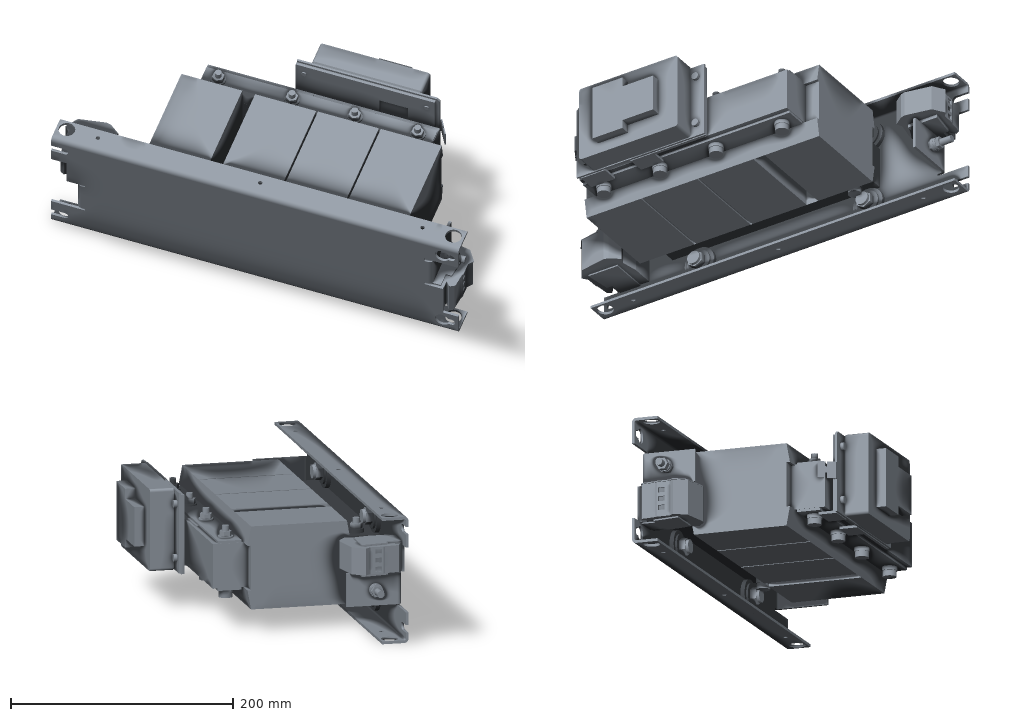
import cadquery as cq


PLATE_LENGTH = 389.0
PLATE_HEIGHT = 116.6
SHEET = 2.5
BEND_RADIUS = 4.0
FLANGE_DEPTH = 24.5
PLATE_END = PLATE_LENGTH / 2
SLOT_Z = 45.4
SLOT_WIDTH = 7.0
SLOT_LENGTH = 16.5
KEYHOLE_DIAMETER = 13.4
KEYHOLE_INSET = 15.4
KEYHOLE_NECK_INSET = 6.7
LIFT_HOLE_DIAMETER = 15.0
LIFT_HOLE_INSET = 9.9
FLANGE_HOLE_Y = 15.2
RIVET_HOLE_DIAMETER = 4.0
RIVET_HOLE_INSET = 39.5

TAB_INSET = 24.7
TAB_REACH = 51.2
RELIEF_INSET = 32.5
BLOCK_CUT_DEPTH = 14.7
STUD_Y = 25.0
STUD_RADIUS = 3.3
NUT_ACROSS_CORNERS = 11.5
STUD_WASHER_RADIUS = 6.1
SPRING_WASHER_RADIUS = 5.8
BLOCK_OVERHANG = 1.03
END_SHEET = 1.0
PORT_SIZE_Y = 6.0
PORT_SIZE_Z = 4.6
PORT_PITCH = 8.2
PORT_Y = 26.8
PORT_FLOOR_INSET = 5.5
BLOCK_OUTLINE = [
    (15.5, SHEET), (15.5, 11.0), (10.7, 5.0), (6.4, 7.4), (4.9, 20.5), (4.0, 22.5), (4.0, 34.5),
    (0.0, 39.6), (7.6, 50.9), (33.7, 55.6), (38.0, 54.5), (47.6, 47.2), (45.0, 41.3),
    (48.5, 25.0), (48.5, SHEET),
]
CAP_OUTLINE = [(17.5, SHEET), (17.5, 16.0), (12.0, 16.0), (8.2, 41.3), (39.3, 41.3), (39.3, SHEET)]

CORE_LEFT = -100.6
CORE_LENGTH = 221.5
CORE_RIGHT = CORE_LEFT + CORE_LENGTH
CORE_HALF = 20.6
YOKE_HEIGHT = 32.0
YOKE_TOP = 157.7
COIL_BOTTOM = 33.4
COIL_TOP = 129.1
COIL_HALF = 38.4
COIL_END_RISE = 3.3
COIL_WIDTH = 58.2
COIL_PITCH = 60.0
COIL_LEFTS = [-114.6] + [-44.2 + i * COIL_PITCH for i in range(3)]
FOOT_STUD_X = 90.0
FOOT_STUD_Z = 36.0
CLAMP_SHEET = 2.4
CLAMP_INSET = 0.4
CLAMP_BOTTOM = 131.0
CLAMP_TOP = 152.8
CLAMP_FACE = CORE_HALF + CLAMP_SHEET
BOLT_XS = [-85.2] + [-14.8 + i * COIL_PITCH for i in range(3)]
BOLT_Y = 142.0
LOWER_BOLT_Y = 20.6
BOLT_RADIUS = 3.1
HEX_TURN = 30
BOLT_WASHER_RADIUS = 7.0
BOLT_WASHER_SHEET = 1.3
BOLT_NUT_LENGTH = 4.6
BOLT_STUD_LENGTH = 5.0
BOLT_HEAD_RADIUS = 6.3
BOLT_HEAD_LENGTH = 5.5

BRACKET_LEFT = -18.8
BRACKET_RIGHT = 114.0
BRACKET_FRONT = 163.2
BRACKET_BACK = 166.2
BRACKET_TOP = 48.0
BRACKET_FOOT = -25.4
WINDOW_LEFT = 61.0
WINDOW_RIGHT = 88.6
WINDOW_TOP = 29.6
FOOT_SHEET = 2.4
FOOT_REACH = 149.0
LEG_LEFTS = (36.9, 88.6)
LEG_WIDTHS = (24.0, 25.4)
BOX_BACK = 168.2
BOX_TOP_Y = 191.6
BOX_BOTTOM_Z = -24.6
LID_TOP_Y = 201.0


def block(x0, x1, y0, y1, z0, z1):
    """Box between two opposite corners."""
    return cq.Workplane("XY").box(x1 - x0, y1 - y0, z1 - z0, centered=False).translate((x0, y0, z0))


def rod_z(x, y, z0, z1, radius):
    return cq.Workplane("XY", origin=(x, y, z0)).circle(radius).extrude(z1 - z0)


def rod_y(x, z, y0, y1, radius):
    return cq.Workplane("XZ", origin=(x, y0, z)).circle(radius).extrude(y0 - y1)


def rod_x(y, z, x0, x1, radius):
    return cq.Workplane("YZ", origin=(x0, y, z)).circle(radius).extrude(x1 - x0)


def end_range(side, near, far):
    """X range lying between two distances inward from one plate end."""
    return sorted((side * (PLATE_END - near), side * (PLATE_END - far)))


def make_channel():
    half = PLATE_HEIGHT / 2
    outer = block(-PLATE_END, PLATE_END, 0, FLANGE_DEPTH, -half, half)
    outer = outer.edges("|X and <Y").fillet(BEND_RADIUS)
    inner = block(-PLATE_END, PLATE_END, SHEET, FLANGE_DEPTH, SHEET - half, half - SHEET)
    inner = inner.edges("|X and <Y").fillet(BEND_RADIUS - SHEET)
    channel = outer.cut(inner)

    slot_end = -PLATE_END + SLOT_LENGTH - SLOT_WIDTH / 2
    key_x = PLATE_END - KEYHOLE_INSET
    neck_x = PLATE_END - KEYHOLE_NECK_INSET
    slot_half = SLOT_WIDTH / 2
    for z in (-SLOT_Z, SLOT_Z):
        channel = channel.cut(block(-PLATE_END, slot_end, 0, SHEET, z - slot_half, z + slot_half))
        channel = channel.cut(rod_y(slot_end, z, 0, SHEET, slot_half))
        channel = channel.cut(rod_y(key_x, z, 0, SHEET, KEYHOLE_DIAMETER / 2))
        channel = channel.cut(block(key_x, neck_x, 0, SHEET, z - slot_half, z + slot_half))
        channel = channel.cut(rod_y(neck_x, z, 0, SHEET, slot_half))

    lift_x = PLATE_END - LIFT_HOLE_INSET
    rivet_x = PLATE_END - RIVET_HOLE_INSET
    for x in (-lift_x, lift_x):
        channel = channel.cut(rod_z(x, FLANGE_HOLE_Y, -half, half, LIFT_HOLE_DIAMETER / 2))
    for x in (-rivet_x, 0, rivet_x):
        channel = channel.cut(rod_z(x, FLANGE_HOLE_Y, -half, half, RIVET_HOLE_DIAMETER / 2))
    return channel


def cut_end(channel, side, tab_cut_z, block_cut_z):
    """Open one plate end for the earthing tab and the terminal block."""
    relief_x0, relief_x1 = end_range(side, 0, RELIEF_INSET)
    block_x0, block_x1 = end_range(side, 0, BLOCK_CUT_DEPTH)
    channel = channel.cut(block(relief_x0, relief_x1, 0, SHEET, *tab_cut_z))
    return channel.cut(block(block_x0, block_x1, 0, SHEET, *block_cut_z))


def make_tab(side, tab_z):
    """Plate tab bent back along Y, joined to the plate by a rounded corner."""
    x0, x1 = end_range(side, TAB_INSET, RELIEF_INSET)
    outside = "<X" if side < 0 else ">X"
    corner = block(x0, x1, 0, TAB_REACH, *tab_z).edges("|Z and <Y and " + outside).fillet(BEND_RADIUS)
    hollow_x0, hollow_x1 = end_range(side, TAB_INSET + SHEET, RELIEF_INSET)
    hollow = block(hollow_x0, hollow_x1, SHEET, TAB_REACH, *tab_z)
    hollow = hollow.edges("|Z and <Y and " + outside).fillet(BEND_RADIUS - SHEET)
    return corner.cut(hollow)


def make_stud(side, stud_z, base_nut_length, washer_length, nut_length, tip_inset):
    """Earthing stud with a base nut, two washers and an outer nut."""
    base_end = TAB_INSET - base_nut_length
    first_washer_end = base_end - washer_length
    washer_end = first_washer_end - washer_length
    nut_end = washer_end - nut_length
    stud = rod_x(STUD_Y, stud_z, *end_range(side, tip_inset, TAB_INSET + SHEET), STUD_RADIUS)
    first_washer_x = end_range(side, first_washer_end, base_end)
    second_washer_x = end_range(side, washer_end, first_washer_end)
    stud = stud.union(rod_x(STUD_Y, stud_z, *first_washer_x, STUD_WASHER_RADIUS))
    stud = stud.union(rod_x(STUD_Y, stud_z, *second_washer_x, SPRING_WASHER_RADIUS))
    for near, far in ((base_end, TAB_INSET), (nut_end, washer_end)):
        x0, x1 = end_range(side, near, far)
        nut = cq.Workplane("YZ", origin=(x0, STUD_Y, stud_z)).polygon(6, NUT_ACROSS_CORNERS)
        stud = stud.union(nut.extrude(x1 - x0))
    return stud


def extrude_end_profile(side, tip, outline, z_range):
    """Extrude along Z an outline of (distance inward from the tip, Y) points."""
    points = [(side * (tip - inset), y) for inset, y in outline]
    sketch = cq.Workplane("XY", origin=(0, 0, z_range[0])).polyline(points).close()
    return sketch.extrude(z_range[1] - z_range[0])


def make_terminal_block(side, body_z, cap_z):
    """Terminal block with a raised cap on each side and three wire ports."""
    body = extrude_end_profile(side, PLATE_END, BLOCK_OUTLINE, body_z)
    port_x = end_range(side, 0, PORT_FLOOR_INSET)
    port_y = (PORT_Y - PORT_SIZE_Y / 2, PORT_Y + PORT_SIZE_Y / 2)
    middle_z = sum(body_z) / 2
    for step in (-1, 0, 1):
        z = middle_z + step * PORT_PITCH
        body = body.cut(block(*port_x, *port_y, z - PORT_SIZE_Z / 2, z + PORT_SIZE_Z / 2))
    return body.union(extrude_end_profile(side, PLATE_END, CAP_OUTLINE, cap_z))


def make_core():
    """Upper and lower yokes of the core, with clamping strips on the upper one."""
    core = block(CORE_LEFT, CORE_RIGHT, SHEET, SHEET + YOKE_HEIGHT, -CORE_HALF, CORE_HALF)
    core = core.union(block(CORE_LEFT, CORE_RIGHT, YOKE_TOP - YOKE_HEIGHT, YOKE_TOP, -CORE_HALF, CORE_HALF))
    for z0, z1 in ((CORE_HALF, CLAMP_FACE), (-CLAMP_FACE, -CORE_HALF)):
        clamp_x = (CORE_LEFT + CLAMP_INSET, CORE_RIGHT - CLAMP_INSET)
        core = core.union(block(*clamp_x, CLAMP_BOTTOM, CLAMP_TOP, z0, z1))
    return core


def make_foot_studs():
    """Studs with washers and nuts that hold the lower yoke to the plate."""
    studs = cq.Workplane("XY")
    washers = ((15.6, 4.0), (12.0, 1.8))
    nut_diameter = 16.4
    nut_length = 5.8
    stud_radius = 6.4
    stud_overrun = 2.8
    for x in (-FOOT_STUD_X, FOOT_STUD_X):
        for z in (-FOOT_STUD_Z, FOOT_STUD_Z):
            y = SHEET
            for radius, length in washers:
                studs = studs.union(rod_y(x, z, y, y + length, radius))
                y += length
            nut = cq.Workplane("XZ", origin=(x, y, z)).polygon(6, nut_diameter).extrude(-nut_length)
            studs = studs.union(nut.rotate((x, 0, z), (x, 1, z), HEX_TURN))
            studs = studs.union(rod_y(x, z, y, y + nut_length + stud_overrun, stud_radius))
    return studs


def make_coils():
    """Windings between two continuous sloped end flanges that straddle the yokes."""
    left = COIL_LEFTS[0]
    right = COIL_LEFTS[-1] + COIL_WIDTH
    lower = COIL_BOTTOM + COIL_END_RISE
    upper = COIL_TOP - COIL_END_RISE
    coils = cq.Workplane("XY")
    for coil_left in COIL_LEFTS:
        coils = coils.union(block(coil_left, coil_left + COIL_WIDTH, lower, upper, -COIL_HALF, COIL_HALF))
    for root, tip in ((lower, COIL_BOTTOM), (upper, COIL_TOP)):
        for side in (-1, 1):
            outline = [(root, side * CORE_HALF), (root, side * COIL_HALF), (tip, side * CORE_HALF)]
            flange = cq.Workplane("YZ", origin=(left, 0, 0)).polyline(outline).close()
            coils = coils.union(flange.extrude(right - left))
    return coils


def make_core_bolt(x, y):
    """Clamping bolt along Z: head and washer below, washer, nut and stud end above."""
    upper_washer = CLAMP_FACE + BOLT_WASHER_SHEET
    upper_nut = upper_washer + BOLT_NUT_LENGTH
    lower_washer = -CLAMP_FACE - FOOT_SHEET - BOLT_WASHER_SHEET
    bolt = rod_z(x, y, lower_washer, upper_nut + BOLT_STUD_LENGTH, BOLT_RADIUS)
    bolt = bolt.union(rod_z(x, y, CORE_HALF, upper_washer, BOLT_WASHER_RADIUS))
    nut = cq.Workplane("XY", origin=(x, y, upper_washer)).polygon(6, NUT_ACROSS_CORNERS)
    nut = nut.extrude(BOLT_NUT_LENGTH).rotate((x, y, 0), (x, y, 1), HEX_TURN)
    bolt = bolt.union(nut)
    bolt = bolt.union(rod_z(x, y, lower_washer, -CORE_HALF, BOLT_WASHER_RADIUS))
    return bolt.union(rod_z(x, y, lower_washer - BOLT_HEAD_LENGTH, lower_washer, BOLT_HEAD_RADIUS))


def make_bracket():
    """Two-legged sheet bracket bolted under the upper yoke."""
    bracket = block(BRACKET_LEFT, BRACKET_RIGHT, BRACKET_FRONT, BRACKET_BACK, BRACKET_FOOT, BRACKET_TOP)
    window = block(WINDOW_LEFT, WINDOW_RIGHT, BRACKET_FRONT, BRACKET_BACK, BRACKET_FOOT, WINDOW_TOP)
    bracket = bracket.cut(window)
    for left, width in zip(LEG_LEFTS, LEG_WIDTHS):
        right = left + width
        foot_top = BRACKET_FOOT + FOOT_SHEET
        bracket = bracket.union(block(left, right, FOOT_REACH, BRACKET_BACK, BRACKET_FOOT, foot_top))
    return bracket


def make_insulation():
    """Thin insulating pads between the upper yoke and its top clamp."""
    pad_width = 31.0
    pad_bottom = COIL_TOP
    pad_top = 155.4
    pad_sheet = 1.0
    pads = cq.Workplane("XY")
    for left in (-30.2, 29.7, CORE_RIGHT - pad_width):
        right = left + pad_width
        pads = pads.union(block(left, right, pad_bottom, pad_top, CORE_HALF, CORE_HALF + pad_sheet))
    return pads


def make_switch_box():
    """Box on a carrier sheet, with a stepped lid, fixing screws and a bent strip."""
    sheet_right = 117.5
    sheet_top = 50.0
    box_left = -5.3
    box_right = 99.7
    box_top = 51.2
    corner_radius = 2.6
    rim_chamfer = 1.3
    carrier = block(BRACKET_LEFT, sheet_right, BRACKET_BACK, BOX_BACK, BOX_BOTTOM_Z, sheet_top)
    carrier = carrier.edges("|Y and >X and >Z").chamfer(corner_radius)
    box = block(box_left, box_right, BOX_BACK, BOX_TOP_Y, BOX_BOTTOM_Z, box_top)
    box = box.edges("|Y").fillet(corner_radius)
    box = carrier.union(box.faces("<Y").chamfer(rim_chamfer))

    lid_left = 14.7
    lid_split = 47.6
    lid_right = 79.5
    narrow_lid_z = (-5.4, 31.0)
    wide_lid_z = (-13.8, 40.5)
    box = box.union(block(lid_left, lid_split, BOX_TOP_Y, LID_TOP_Y, *narrow_lid_z))
    box = box.union(block(lid_split, lid_right, BOX_TOP_Y, LID_TOP_Y, *wide_lid_z))

    screw_head_radius = 3.5
    screw_head_length = 3.2
    screw_end_radius = 2.2
    screw_end_length = 1.2
    for x in (-10.7, 106.4):
        for z in (-11.7, 38.2):
            box = box.union(rod_y(x, z, BOX_BACK, BOX_BACK + screw_head_length, screw_head_radius))
            box = box.union(rod_y(x, z, BRACKET_FRONT - screw_end_length, BRACKET_FRONT, screw_end_radius))

    strip_root = sheet_right - 1.0
    strip_front = BOX_BACK - 1.0
    strip_outline = [
        (strip_root, BOX_BACK), (119.6, BOX_BACK), (128.0, 153.6),
        (127.0, 153.2), (118.8, strip_front), (strip_root, strip_front),
    ]
    strip_z = (5.2, 20.6)
    neck_z = (10.3, 16.0)
    neck_y = (159.4, 161.1)
    strip = cq.Workplane("XY", origin=(0, 0, strip_z[0])).polyline(strip_outline).close()
    strip = strip.extrude(strip_z[1] - strip_z[0])
    strip_right = max(x for x, y in strip_outline)
    for z0, z1 in ((strip_z[0], neck_z[0]), (neck_z[1], strip_z[1])):
        strip = strip.cut(block(sheet_right, strip_right, *neck_y, z0, z1))
    return box.union(strip)


LEFT = -1
RIGHT = 1
LEFT_TAB_Z = (-28.0, 3.0)
LEFT_TAB_CUT_Z = (-30.1, 4.4)
LEFT_BLOCK_CUT_Z = (4.4, 29.8)
LEFT_BLOCK_Z = (6.2, 31.1)
LEFT_CAP_Z = (3.0, 32.6)
RIGHT_TAB_Z = (1.0, 31.3)
RIGHT_TAB_CUT_Z = (-1.5, 34.7)
RIGHT_BLOCK_CUT_Z = (-34.9, -1.5)
RIGHT_BLOCK_Z = (-34.6, -1.4)
RIGHT_CAP_Z = (-36.0, 0.1)

channel = make_channel()
channel = cut_end(channel, LEFT, LEFT_TAB_CUT_Z, LEFT_BLOCK_CUT_Z)
channel = cut_end(channel, RIGHT, RIGHT_TAB_CUT_Z, RIGHT_BLOCK_CUT_Z)
result = channel.union(make_tab(LEFT, LEFT_TAB_Z)).union(make_tab(RIGHT, RIGHT_TAB_Z))

left_stud = make_stud(
    LEFT, stud_z=-12.8, base_nut_length=2.5, washer_length=2.4, nut_length=3.4, tip_inset=2.4)
right_stud = make_stud(
    RIGHT, stud_z=16.3, base_nut_length=4.2, washer_length=2.6, nut_length=6.0, tip_inset=2.0)
result = result.union(left_stud).union(right_stud)

end_sheet_z = (RIGHT_BLOCK_Z[1] - END_SHEET, RIGHT_BLOCK_Z[1])
end_sheet = extrude_end_profile(RIGHT, PLATE_END + BLOCK_OVERHANG, BLOCK_OUTLINE, end_sheet_z)
result = result.union(make_terminal_block(LEFT, LEFT_BLOCK_Z, LEFT_CAP_Z))
result = result.union(make_terminal_block(RIGHT, RIGHT_BLOCK_Z, RIGHT_CAP_Z)).union(end_sheet)

result = result.union(make_core()).union(make_foot_studs()).union(make_coils()).union(make_insulation())
for bolt_x in BOLT_XS:
    result = result.union(make_core_bolt(bolt_x, BOLT_Y))
result = result.union(make_core_bolt(BOLT_XS[0], LOWER_BOLT_Y))
result = result.union(make_bracket()).union(make_switch_box())